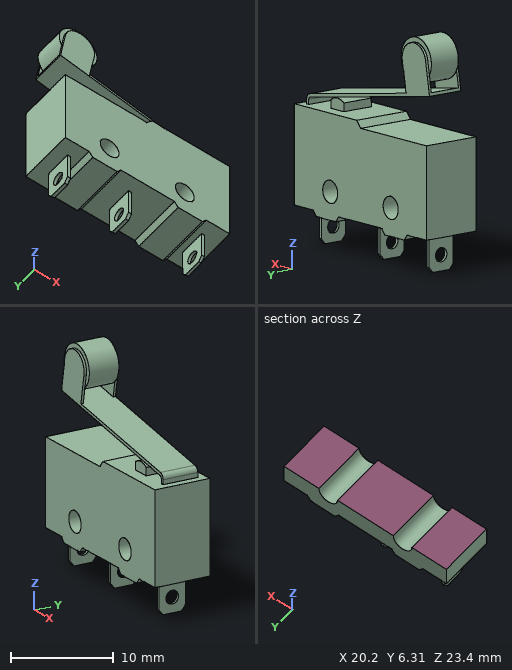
import cadquery as cq
import math


body_length = 20.2
body_width = 6.31
body_bottom = 3.79
low_top = 13.2
high_top = 13.9
ramp_start = 10.03
ramp_end = 10.64
foot_starts = (2.92, 13.4)
foot_length = 3.9
foot_height = 0.55
foot_slope = 0.47
mount_hole_diameter = 2.3
mount_hole_xs = (5.45, 14.68)
mount_hole_z = 6.08

terminals = ((1.55, 0.37), (9.02, 0.37), (18.0, 0.33))
terminal_width = 3.05
terminal_corner_width = 0.47
terminal_corner_height = 0.55
terminal_hole_diameter = 1.4
terminal_hole_z = 1.64

roller_diameter = 4.65
roller_x = 2.95
roller_z = 23.38 - roller_diameter / 2
lever_angle = 10.0
lever_thickness = 0.35
lever_front = 1.47
lever_width = 3.97
lever_right = 19.35
bend_radius = 0.6
ear_radius = 1.8
ear_thickness = 0.28
ear_height = 3.18

plunger_left = 14.35
plunger_length = 1.99
plunger_front = 1.4
plunger_width = 3.45
plunger_side_height = 0.87
plunger_crown = 0.33


def extrude_across(profile, front, width):
    """Extrude an XZ profile from y = front toward +Y."""
    return profile.extrude(-width).translate((0, front, 0))


def make_housing():
    outline = [(0, low_top), (0, body_bottom)]
    for start in foot_starts:
        end = start + foot_length
        outline += [
            (start, body_bottom),
            (start + foot_slope, body_bottom - foot_height),
            (end - foot_slope, body_bottom - foot_height),
            (end, body_bottom),
        ]
    outline += [
        (body_length, body_bottom),
        (body_length, high_top),
        (ramp_end, high_top),
        (ramp_start, low_top),
    ]
    housing = extrude_across(cq.Workplane("XZ").polyline(outline).close(), 0, body_width)
    holes = cq.Workplane("XZ").pushPoints([(x, mount_hole_z) for x in mount_hole_xs])
    return housing.cut(extrude_across(holes.circle(mount_hole_diameter / 2), 0, body_width))


def make_terminal(left, thickness):
    middle = body_width / 2
    half = terminal_width / 2
    tip_half = half - terminal_corner_width
    blade = (
        cq.Workplane("YZ", origin=(left, middle, 0))
        .polyline([
            (-half, body_bottom),
            (-half, terminal_corner_height),
            (-tip_half, 0),
            (tip_half, 0),
            (half, terminal_corner_height),
            (half, body_bottom),
        ])
        .close()
        .extrude(thickness)
    )
    hole = (
        cq.Workplane("YZ", origin=(left, middle, terminal_hole_z))
        .circle(terminal_hole_diameter / 2)
        .extrude(thickness)
    )
    return blade.cut(hole)


def make_plunger():
    shoulder = high_top + plunger_side_height
    right = plunger_left + plunger_length
    profile = (
        cq.Workplane("XZ")
        .moveTo(plunger_left, high_top)
        .lineTo(plunger_left, shoulder)
        .threePointArc((plunger_left + plunger_length / 2, shoulder + plunger_crown), (right, shoulder))
        .lineTo(right, high_top)
        .close()
    )
    return extrude_across(profile, plunger_front, plunger_width)


def beside_roller(along, up):
    """XZ point offset from the roller axis, along and square to the sloping lever."""
    angle = math.radians(lever_angle)
    return (
        roller_x + along * math.cos(angle) + up * math.sin(angle),
        roller_z - along * math.sin(angle) + up * math.cos(angle),
    )


def make_lever():
    slope = math.tan(math.radians(lever_angle))
    tip_top = beside_roller(-ear_radius, -ear_height)
    tip_bottom = beside_roller(-ear_radius, -ear_height - lever_thickness)
    inner_right = lever_right - lever_thickness
    outer_corner = (lever_right, tip_top[1] - (lever_right - tip_top[0]) * slope)
    inner_corner = (inner_right, tip_bottom[1] - (inner_right - tip_bottom[0]) * slope)
    profile = (
        cq.Workplane("XZ")
        .polyline([
            tip_bottom,
            tip_top,
            outer_corner,
            (lever_right, high_top),
            (inner_right, high_top),
            inner_corner,
        ])
        .close()
    )
    strip = extrude_across(profile, lever_front, lever_width)

    for corner, radius in ((outer_corner, bend_radius), (inner_corner, bend_radius - lever_thickness)):
        point = (corner[0], lever_front + lever_width / 2, corner[1])
        strip = strip.edges(cq.selectors.NearestToPointSelector(point)).fillet(radius)
    return strip


def make_ear(front):
    profile = (
        cq.Workplane("XZ")
        .moveTo(*beside_roller(-ear_radius, -ear_height))
        .lineTo(*beside_roller(-ear_radius, 0))
        .threePointArc(beside_roller(0, ear_radius), beside_roller(ear_radius, 0))
        .lineTo(*beside_roller(ear_radius, -ear_height))
        .close()
    )
    return extrude_across(profile, front, ear_thickness)


def make_roller():
    profile = cq.Workplane("XZ").center(roller_x, roller_z).circle(roller_diameter / 2)
    return extrude_across(profile, lever_front + ear_thickness, lever_width - 2 * ear_thickness)


result = make_housing().union(make_plunger()).union(make_lever()).union(make_roller())
for terminal_left, terminal_thickness in terminals:
    result = result.union(make_terminal(terminal_left, terminal_thickness))
for ear_front in (lever_front, lever_front + lever_width - ear_thickness):
    result = result.union(make_ear(ear_front))